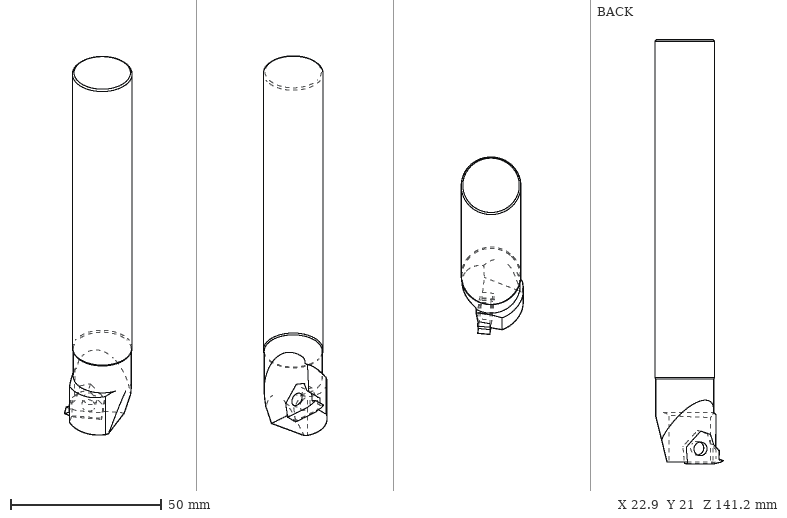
import cadquery as cq
import math

TOTAL_LENGTH = 141.2
SHANK_DIAMETER = 19.9
SHANK_BOTTOM = 28.8
SHANK_CHAMFER = 0.5
NECK_DIAMETER = 19.4
NECK_RADIUS = NECK_DIAMETER / 2
STEP_HEIGHT = 0.5

HEAD_BOTTOM = 0.7
CONE_TOP = 17.2
FRONT_REACH = 11.09
LEFT_CORNER = (-8.6, -7.5)
LEFT_FACE_END = (-10.7, 2.4)
FRONT_FLAT_LEFT = -0.5
FRONT_FLAT_RIGHT = 0.3
RIGHT_FLAT_START = (5.2, -9.2)
RIGHT_FLAT_END_X = 7.5

RELIEF_BOTTOM_X = 6.0
RELIEF_TOP_X = 9.9
RELIEF_TOP = 16.8

RAKE_OFFSET = 3.1
RAKE_SLOPE_X = 0.28
RAKE_SLOPE_Z = 0.06
RUNOUT_NORMAL = (-1.0, 1.0, -1.2)
FLUTE_FILLET = 2.8
RUNOUT_HEIGHT = 9.9

INSERT_THICKNESS = 4.1
INSERT_BOTTOM_INNER = -1.0
INSERT_RIGHT = (-0.4, 5.6)
INSERT_PEAK = (-5.4, 11.0)
INSERT_SHOULDER = (-8.8, 9.9)
INSERT_OUTER = -11.9
INSERT_TOP = 6.5
HOLE_CENTER = (-5.4, 5.1)
HOLE_DIAMETER = 4.5
INSERT_CORNER = 2.0
TOOTH_TIP = (-13.4, 1.1)
TOOTH_BOTTOM = (-12.3, 0.5)
TOOTH_TOP = 1.7
EDGE_START = -9.7

CUTTER_SIZE = 56.5

RAKE_PLANE = cq.Plane(
    origin=(0, RAKE_OFFSET, 0),
    xDir=(1, RAKE_SLOPE_X, 0),
    normal=(RAKE_SLOPE_X, -1, RAKE_SLOPE_Z),
)


def make_shank():
    """Shank with a chamfered top, stepping down to the neck over a short cone."""
    shank_radius = SHANK_DIAMETER / 2
    step_bottom = SHANK_BOTTOM - STEP_HEIGHT
    return (
        cq.Workplane("XZ")
        .moveTo(0, HEAD_BOTTOM)
        .lineTo(NECK_RADIUS, HEAD_BOTTOM)
        .lineTo(NECK_RADIUS, step_bottom)
        .lineTo(shank_radius, SHANK_BOTTOM)
        .lineTo(shank_radius, TOTAL_LENGTH - SHANK_CHAMFER)
        .lineTo(shank_radius - SHANK_CHAMFER, TOTAL_LENGTH)
        .lineTo(0, TOTAL_LENGTH)
        .close()
        .revolve(360, (0, 0), (0, 1))
    )


def arc_middle(start, end, radius):
    """Point at the given radius about the Z axis, halfway in angle between two points."""
    angle = (math.atan2(start[1], start[0]) + math.atan2(end[1], end[0])) / 2
    return (radius * math.cos(angle), radius * math.sin(angle))


def make_head():
    """Prism of the head outline, with its top trimmed by a 45 degree cone."""
    flat_left = (FRONT_FLAT_LEFT, -FRONT_REACH)
    flat_right = (FRONT_FLAT_RIGHT, -FRONT_REACH)
    right_flat_end = (RIGHT_FLAT_END_X, -math.sqrt(NECK_RADIUS**2 - RIGHT_FLAT_END_X**2))
    left_radius = (math.hypot(*LEFT_CORNER) + FRONT_REACH) / 2
    right_radius = (math.hypot(*RIGHT_FLAT_START) + FRONT_REACH) / 2
    prism = (
        cq.Workplane("XY", origin=(0, 0, HEAD_BOTTOM))
        .moveTo(*LEFT_FACE_END)
        .lineTo(*LEFT_CORNER)
        .threePointArc(arc_middle(LEFT_CORNER, flat_left, left_radius), flat_left)
        .lineTo(*flat_right)
        .threePointArc(arc_middle(flat_right, RIGHT_FLAT_START, right_radius), RIGHT_FLAT_START)
        .lineTo(*right_flat_end)
        .lineTo(0, 0)
        .close()
        .extrude(CONE_TOP - HEAD_BOTTOM)
    )
    cone_radius = NECK_RADIUS + CONE_TOP - HEAD_BOTTOM
    cone = (
        cq.Workplane("XZ")
        .moveTo(0, HEAD_BOTTOM)
        .lineTo(cone_radius, HEAD_BOTTOM)
        .lineTo(NECK_RADIUS, CONE_TOP)
        .lineTo(0, CONE_TOP)
        .close()
        .revolve(360, (0, 0), (0, 1))
    )
    return prism.intersect(cone)


def make_relief_cutter():
    """Wedge that slopes the +X side inwards towards the bottom."""
    return (
        cq.Workplane("XZ", origin=(0, CUTTER_SIZE / 2, 0))
        .moveTo(RELIEF_BOTTOM_X, HEAD_BOTTOM)
        .lineTo(RELIEF_TOP_X, RELIEF_TOP)
        .lineTo(CUTTER_SIZE, RELIEF_TOP)
        .lineTo(CUTTER_SIZE, HEAD_BOTTOM)
        .close()
        .extrude(CUTTER_SIZE)
    )


def make_flute_cutter():
    """Space in front of the rake face and below the sloping runout plane."""
    above_rake = cq.Workplane(RAKE_PLANE).rect(CUTTER_SIZE, CUTTER_SIZE).extrude(-CUTTER_SIZE)
    runout_plane = cq.Plane(origin=(0, 0, RUNOUT_HEIGHT), xDir=(1, 1, 0), normal=RUNOUT_NORMAL)
    below_runout = cq.Workplane(runout_plane).rect(CUTTER_SIZE, CUTTER_SIZE).extrude(CUTTER_SIZE)
    cutter = above_rake.intersect(below_runout)
    root = cq.selectors.NearestToPointSelector((0, RAKE_OFFSET, CONE_TOP))
    return cutter.edges(root).fillet(FLUTE_FILLET)


def make_plate():
    """Flat insert flush with the rake face, with a pointed tooth at its lower corner."""
    return (
        cq.Workplane(RAKE_PLANE)
        .moveTo(INSERT_BOTTOM_INNER, 0)
        .lineTo(EDGE_START, 0)
        .lineTo(*TOOTH_BOTTOM)
        .lineTo(*TOOTH_TIP)
        .lineTo(INSERT_OUTER, TOOTH_TOP)
        .lineTo(INSERT_OUTER, INSERT_TOP - INSERT_CORNER)
        .lineTo(INSERT_OUTER + INSERT_CORNER, INSERT_TOP)
        .lineTo(*INSERT_SHOULDER)
        .lineTo(*INSERT_PEAK)
        .lineTo(*INSERT_RIGHT)
        .close()
        .extrude(INSERT_THICKNESS)
    )


def make_insert():
    """Insert plate with its screw hole."""
    hole = (
        cq.Workplane(RAKE_PLANE)
        .center(*HOLE_CENTER)
        .circle(HOLE_DIAMETER / 2)
        .extrude(INSERT_THICKNESS)
    )
    return make_plate().cut(hole)


def make_holder(seat):
    """Shank and head in one piece, with the flute and the seat of the insert cut out."""
    body = make_shank().union(make_head())
    body = body.cut(make_relief_cutter())
    body = body.cut(make_flute_cutter())
    return body.cut(seat)


insert = make_insert()
holder = make_holder(make_plate())

result = cq.Compound.makeCompound([holder.val(), insert.val()])